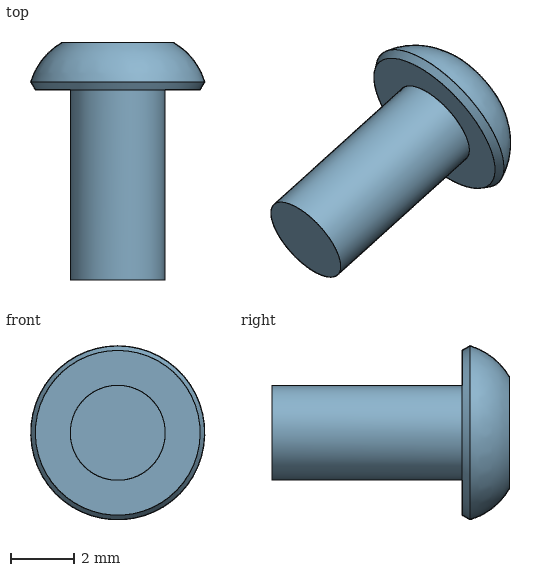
import cadquery as cq
import math

total_length = 7.5
shank_length = 6.0
shank_radius = 1.5
head_diameter = 5.5
head_radius = head_diameter / 2
crown_radius = 1.76
rim_height = 0.255
rim_angle = 30.0
dome_bulge = 0.15

seat_y = 0.0
shank_end_y = seat_y - shank_length
rim_y = seat_y + rim_height
crown_y = shank_end_y + total_length
seat_radius = head_radius - rim_height * math.tan(math.radians(rim_angle))

chord_radial = head_radius - crown_radius
chord_axial = crown_y - rim_y
chord_length = math.hypot(chord_radial, chord_axial)
dome_middle = (
    (head_radius + crown_radius) / 2 + dome_bulge * chord_axial / chord_length,
    (rim_y + crown_y) / 2 + dome_bulge * chord_radial / chord_length,
)

section_plane = cq.Plane(origin=(0, 0, 0), xDir=(0, 0, 1), normal=(-1, 0, 0))
half_section = (
    cq.Workplane(section_plane)
    .moveTo(0, shank_end_y)
    .lineTo(shank_radius, shank_end_y)
    .lineTo(shank_radius, seat_y)
    .lineTo(seat_radius, seat_y)
    .lineTo(head_radius, rim_y)
    .threePointArc(dome_middle, (crown_radius, crown_y))
    .lineTo(0, crown_y)
    .close()
)

result = half_section.revolve(360, (0, 0, 0), (0, 1, 0))